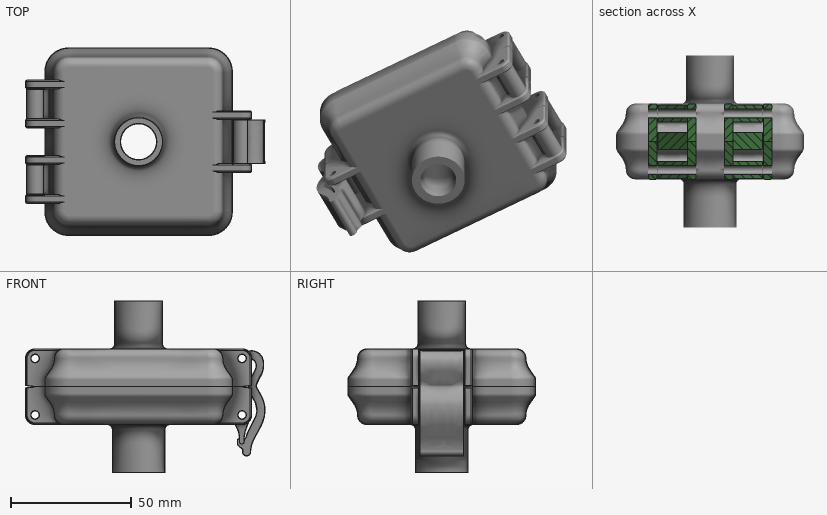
import cadquery as cq
import math

shell_height = 15.7
rim_width = 78.0
rim_half_width = rim_width / 2
rim_corner_radius = 10.0
wall_inset = 4.0
edge_radius = 4.0
rim_flat_half_height = 2.9
rim_round_height = 1.3
rim_round_inset = 0.4
slope_top = 7.0
slope_inset = 2.4

overall_height = 71.5
bore_radius = 7.5
upper_tube_radius = 10.0
lower_tube_radius = 11.0
tube_foot_radius = 2.0

pin_x = 43.1
ear_end_radius = 4.0
pin_z = shell_height - ear_end_radius
pin_hole_radius = 1.7
ear_thickness = 3.7
ear_chamfer = 0.6
ear_root_x = 27.9
ear_gap_half_height = 0.5
hinge_y = 15.7
hinge_link_width = 12.6
latch_width = 18.3
side_clearance = 0.1
ear_end_x = pin_x + ear_end_radius

barrel_radius = 3.6
link_bulge_x = 44.1
rim_clearance = 0.25
link_inner_x = rim_half_width + rim_clearance
link_neck_x = 37.2

cup_x = 43.0
cup_z = -22.8
cup_radius = 1.0
grip_x = 45.0
grip_radius = 1.7
grip_z = -27.1
latch_body_width = latch_width - 2 * side_clearance


def extrude_along_y(outline, width, center_y):
    """Extrude an outline drawn on the XZ plane symmetrically about Y = center_y."""
    return outline.extrude(width).translate((0, center_y + width / 2, 0))


def y_cylinder(x, z, radius, width, center_y):
    return extrude_along_y(cq.Workplane("XZ").center(x, z).circle(radius), width, center_y)


def side_profile(half_width):
    """Right half of the housing cross-section, from the axis out to half_width at the joint."""
    rim_top = rim_flat_half_height + rim_round_height
    wall = half_width - wall_inset
    wall_top = shell_height - edge_radius
    corner = edge_radius * math.sqrt(0.5)
    return (
        cq.Workplane("XZ")
        .lineTo(half_width, 0)
        .lineTo(half_width, rim_flat_half_height)
        .tangentArcPoint((half_width - rim_round_inset, rim_top), relative=False)
        .lineTo(half_width - slope_inset, slope_top)
        .tangentArcPoint((wall, wall_top), relative=False)
        .threePointArc(
            (wall - edge_radius + corner, wall_top + corner), (wall - edge_radius, shell_height)
        )
        .lineTo(0, shell_height)
        .close()
    )


def revolve_about_z(profile):
    return profile.revolve(360, (0, 0, 0), (0, 1, 0))


def shell_body():
    """Upper half of the square housing: one side and one corner, repeated four times about Z."""
    straight = rim_half_width - rim_corner_radius
    side = extrude_along_y(side_profile(rim_half_width), 2 * straight, 0)
    corner = revolve_about_z(side_profile(rim_corner_radius)).translate((straight, straight, 0))
    quarter = side.union(corner)
    body = quarter
    for turn in (90, 180, 270):
        body = body.union(quarter.rotate((0, 0, 0), (0, 0, 1), turn))
    return body


def ear(side, center_y):
    """Chamfered ear plate on the -X or +X side; reaches across the joint until it is split."""
    plate = (
        cq.Workplane("XY")
        .box(ear_end_x - ear_root_x, ear_thickness, 2 * shell_height)
        .edges("|Y and >X")
        .fillet(ear_end_radius)
        .faces("<Y or >Y")
        .chamfer(ear_chamfer)
    )
    plate = plate.translate(((ear_end_x + ear_root_x) / 2, center_y, 0))
    relief = extrude_along_y(
        cq.Workplane("XZ").polyline(
            [(pin_x, 0), (ear_end_x, ear_gap_half_height), (ear_end_x, -ear_gap_half_height)]
        ).close(),
        ear_thickness,
        center_y,
    )
    plate = plate.cut(relief)
    plate = plate.cut(y_cylinder(pin_x, pin_z, pin_hole_radius, ear_thickness, center_y))
    return plate if side > 0 else plate.mirror("YZ")


def upper_half_ears():
    ear_offset = ear_thickness / 2
    hinge_offset = hinge_link_width / 2 + ear_offset
    latch_offset = latch_width / 2 + ear_offset
    places = [(-1, y + d) for y in (hinge_y, -hinge_y) for d in (hinge_offset, -hinge_offset)]
    places += [(1, latch_offset), (1, -latch_offset)]
    above_joint = cq.Workplane("XY").box(
        2 * ear_end_x, 2 * rim_half_width, shell_height, centered=(True, True, False)
    )
    return [ear(side, y).intersect(above_joint) for side, y in places]


def shell(tube_radius):
    """One shell with ears, tube and bore, drawn with its joint face down."""
    body = shell_body()
    for plate in upper_half_ears():
        body = body.union(plate)
    foot_top = shell_height + tube_foot_radius
    foot_mid = tube_foot_radius * (1 - math.sqrt(0.5))
    tube_profile = (
        cq.Workplane("XZ")
        .lineTo(tube_radius + tube_foot_radius, 0)
        .lineTo(tube_radius + tube_foot_radius, shell_height)
        .threePointArc((tube_radius + foot_mid, shell_height + foot_mid), (tube_radius, foot_top))
        .lineTo(tube_radius, overall_height / 2)
        .lineTo(0, overall_height / 2)
        .close()
    )
    tube = revolve_about_z(tube_profile)
    bore = cq.Workplane("XY").circle(bore_radius).extrude(overall_height / 2)
    return body.union(tube).cut(bore)


def add_pin_barrel(body, x, z, width, center_y):
    """Join a barrel around a pin axis to a body and drill its pin hole."""
    barrel = y_cylinder(x, z, barrel_radius, width, center_y)
    return body.union(barrel).cut(y_cylinder(x, z, pin_hole_radius, width, center_y))


def hinge_link(center_y):
    """Two barrels joined by a strip that bows outward around the housing rim."""
    width = hinge_link_width - 2 * side_clearance
    strip = (
        cq.Workplane("XZ")
        .moveTo(-pin_x, pin_z)
        .lineTo(-41.9, 8.6)
        .threePointArc((-40.7, 7.6), (-41.5, 5.8))
        .threePointArc((-43.5, 3.2), (-link_bulge_x, 0))
        .threePointArc((-43.5, -2.6), (-41.5, -4.8))
        .threePointArc((-40.3, -6.7), (-41.7, -8.7))
        .lineTo(-pin_x, -pin_z)
        .lineTo(-39.8, -11.0)
        .threePointArc((-38.1, -9.3), (-link_neck_x, -7.0))
        .lineTo(-link_inner_x, -4.0)
        .lineTo(-link_inner_x, 4.0)
        .lineTo(-link_neck_x, 7.0)
        .threePointArc((-38.1, 9.3), (-39.8, 11.0))
        .close()
    )
    link = extrude_along_y(strip, width, center_y)
    for z in (pin_z, -pin_z):
        link = add_pin_barrel(link, -pin_x, z, width, center_y)
    return link


def latch_lever():
    """Curved lever on the upper pin, ending in a cup and a finger grip."""
    outer = [
        (47.6, 15.0), (51.1, 12.8), (52.0, 9.0), (50.7, 4.3), (48.9, 0.6),
        (50.5, -2.9), (52.4, -7.7), (52.4, -11.9), (51.0, -16.1), (47.8, -22.0), (46.6, -26.5),
    ]
    inner = [
        (44.8, -21.0), (47.8, -14.4), (49.2, -10.2), (48.6, -6.7), (46.8, -3.6),
        (45.7, 0.5), (47.2, 4.5), (48.7, 7.5), (48.8, 9.6), (48.0, 11.0), (46.4, 11.4),
    ]
    outline = (
        cq.Workplane("XZ")
        .moveTo(45.35, 14.6)
        .spline(outer, includeCurrent=True)
        .lineTo(grip_x + grip_radius, grip_z)
        .threePointArc((grip_x, grip_z - grip_radius), (grip_x - grip_radius, grip_z))
        .lineTo(grip_x - grip_radius, -26.1)
        .lineTo(41.1, -24.0)
        .lineTo(41.1, -22.0)
        .lineTo(41.9, -21.4)
        .lineTo(cup_x - cup_radius, cup_z)
        .threePointArc((cup_x, cup_z - cup_radius), (cup_x + cup_radius, cup_z))
        .lineTo(44.1, -21.8)
        .lineTo(*inner[0])
        .spline(inner[1:], includeCurrent=True)
        .lineTo(pin_x, pin_z)
        .close()
    )
    lever = extrude_along_y(outline, latch_body_width, 0)
    return add_pin_barrel(lever, pin_x, pin_z, latch_body_width, 0)


def latch_catch():
    """Tapered tongue on the lower pin; its tip rests in the lever cup."""
    outline = (
        cq.Workplane("XZ")
        .moveTo(pin_x - barrel_radius, -pin_z)
        .spline([(40.3, -15.8), (41.6, -18.6), (42.0, -20.9)], includeCurrent=True)
        .lineTo(cup_x - cup_radius, cup_z)
        .threePointArc((cup_x, cup_z - cup_radius), (cup_x + cup_radius, cup_z))
        .lineTo(44.0, -20.9)
        .spline([(44.4, -18.6), (45.7, -14.9), (pin_x + barrel_radius, -pin_z)], includeCurrent=True)
        .close()
    )
    catch = extrude_along_y(outline, latch_body_width, 0)
    return add_pin_barrel(catch, pin_x, -pin_z, latch_body_width, 0)


upper_shell = shell(upper_tube_radius)
lower_shell = shell(lower_tube_radius).mirror("XY")
hinge_links = [hinge_link(y) for y in (hinge_y, -hinge_y)]
lever = latch_lever()
catch = latch_catch()

result = cq.Compound.makeCompound(
    [
        upper_shell.val(),
        lower_shell.val(),
        *[link.val() for link in hinge_links],
        lever.val(),
        catch.val(),
    ]
)